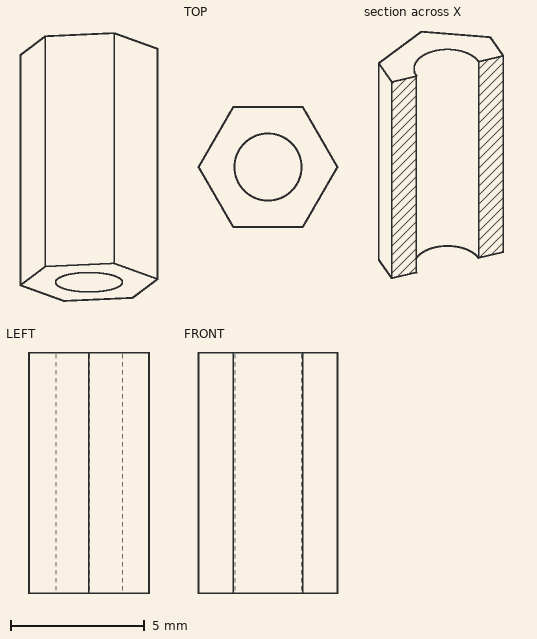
import cadquery as cq
import math

length = 9.0
across_flats = 4.5
hole_diameter = 2.5

across_corners = across_flats / math.cos(math.pi / 6)

hex_body = cq.Workplane("XY").polygon(6, across_corners).extrude(length)

result = hex_body.faces(">Z").workplane().hole(hole_diameter)